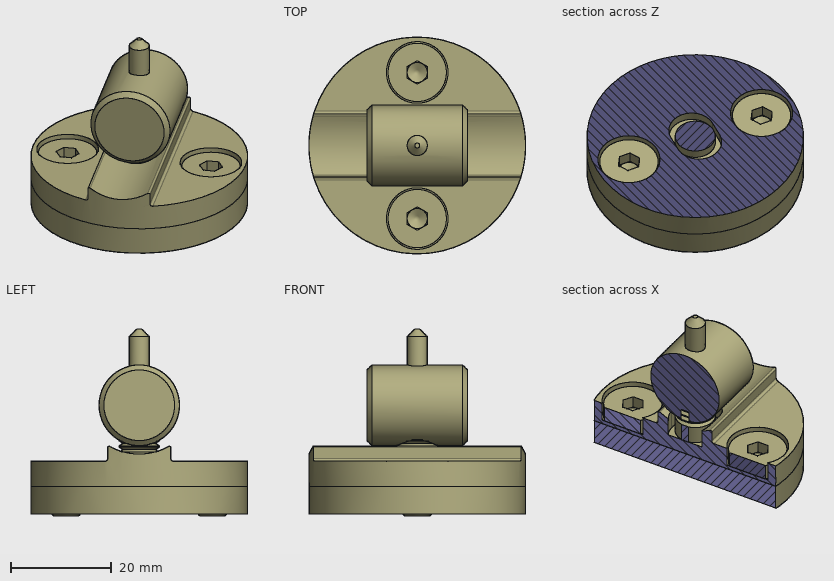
import cadquery as cq
import math

plate_diameter = 43.0
base_bottom = 0.4
base_thickness = 5.5
saddle_thickness = 5.0
base_top = base_bottom + base_thickness
saddle_top = base_top + saddle_thickness

roller_diameter = 16.0
roller_length = 20.0
roller_chamfer = 1.0
roller_axis_height = 21.97

rib_width = 12.55
lip_fillet = 0.3
root_fillet = 0.5
trough_radius = 12.0
trough_bottom = 12.3
rib_half_length = 21.95

screw_offset = 14.5
screw_diameter = 6.0
screw_tip_diameter = 5.0
screw_head_diameter = 11.55
counterbore_diameter = 12.2
head_sink = 0.8
head_height = 3.3
hex_sides = 6
hex_across_flats = 4.0
hex_depth = 2.5
hex_cone_half_angle = 60.0

thread_diameter = 8.0
thread_root_diameter = 6.5
thread_pitch = 1.25
thread_crest = 0.25
thread_count = 3
stud_bottom = 9.0
shank_top = 12.7
slot_width = 9.0
slot_travel = 3.3

pin_diameter = 4.0
pin_tip_diameter = 1.0
pin_top = 37.1
pin_insertion = 4.0

screw_centres = [(0, -screw_offset), (0, screw_offset)]
head_top = saddle_top - head_sink
head_seat = head_top - head_height
stud_top = shank_top + thread_count * thread_pitch
roller_top = roller_axis_height + roller_diameter / 2
pin_bottom = roller_top - pin_insertion


def vertical_cylinder(diameter, bottom, top, centre=(0, 0)):
    """Solid cylinder along Z between two heights."""
    return cq.Workplane("XY", origin=(*centre, bottom)).circle(diameter / 2).extrude(top - bottom)


def make_base():
    """Round base plate with clearance for the two screws."""
    plate = vertical_cylinder(plate_diameter, base_bottom, base_top)
    for centre in screw_centres:
        plate = plate.cut(vertical_cylinder(screw_diameter, base_bottom, base_top, centre))
    return plate


def make_rib():
    """Rib along X, from the base top up to the trough, longer than the plate."""
    half_width = rib_width / 2
    trough_axis_height = trough_bottom + trough_radius
    lip_height = trough_axis_height - math.sqrt(trough_radius**2 - half_width**2)
    return (
        cq.Workplane("YZ")
        .moveTo(-half_width, base_top)
        .lineTo(half_width, base_top)
        .lineTo(half_width, lip_height)
        .threePointArc((0, trough_bottom), (-half_width, lip_height))
        .close()
        .extrude(rib_half_length, both=True)
        .edges("|X and >Z")
        .fillet(lip_fillet)
    )


def make_root_fillet(side):
    """Concave strip in the corner between one rib side and the saddle top."""
    wall = side * rib_width / 2
    outer = wall + side * root_fillet
    centre_height = saddle_top + root_fillet
    diagonal = root_fillet * math.cos(math.radians(45))
    return (
        cq.Workplane("YZ")
        .moveTo(wall, saddle_top)
        .lineTo(outer, saddle_top)
        .threePointArc((outer - side * diagonal, centre_height - diagonal), (wall, centre_height))
        .close()
        .extrude(rib_half_length, both=True)
    )


def make_stud_slot():
    """Tool for the blind obround slot around the stud, open to the trough."""
    return (
        cq.Workplane("XY", origin=(0, 0, stud_bottom))
        .slot2D(slot_travel + slot_width, slot_width)
        .extrude(roller_axis_height - stud_bottom)
    )


def make_saddle():
    """Round plate with the rib, the counterbored screw holes and the stud slot."""
    plate = vertical_cylinder(plate_diameter, base_top, saddle_top)
    rib = make_rib().union(make_root_fillet(-1)).union(make_root_fillet(1))
    envelope = vertical_cylinder(plate_diameter, base_top, roller_axis_height)
    plate = plate.union(rib.intersect(envelope))
    for centre in screw_centres:
        plate = plate.cut(vertical_cylinder(screw_diameter, base_top, head_seat, centre))
        plate = plate.cut(vertical_cylinder(counterbore_diameter, head_seat, saddle_top, centre))
    return plate.cut(make_stud_slot())


def make_screw(centre):
    """Socket screw with a cylindrical head and a chamfered tip at Z = 0."""
    tip_chamfer = (screw_diameter - screw_tip_diameter) / 2
    shank = vertical_cylinder(screw_diameter, 0, head_seat, centre).faces("<Z").chamfer(tip_chamfer)
    head = vertical_cylinder(screw_head_diameter, head_seat, head_top, centre)

    hex_corner_diameter = hex_across_flats / math.cos(math.pi / hex_sides)
    socket = (
        cq.Workplane("XY", origin=(*centre, head_top))
        .transformed(rotate=(0, 0, 180 / hex_sides))
        .polygon(hex_sides, hex_corner_diameter)
        .extrude(-hex_depth)
    )
    cone_radius = hex_across_flats / 2
    cone_height = cone_radius / math.tan(math.radians(hex_cone_half_angle))
    drill_point = cq.Workplane(
        cq.Solid.makeCone(
            cone_radius, 0, cone_height, pnt=cq.Vector(*centre, head_top - hex_depth), dir=cq.Vector(0, 0, -1)
        )
    )
    return shank.union(head).cut(socket).cut(drill_point)


def make_stud():
    """Stud with a plain shank below and a thread of equal V-grooved rings above."""
    root_radius = thread_root_diameter / 2
    crest_radius = thread_diameter / 2
    flank_height = (thread_pitch - thread_crest) / 2
    profile = cq.Workplane("XZ").moveTo(0, stud_bottom).lineTo(crest_radius, stud_bottom)
    for ring in range(thread_count):
        crest_top = shank_top + ring * thread_pitch
        profile = profile.lineTo(crest_radius, crest_top)
        profile = profile.lineTo(root_radius, crest_top + flank_height)
        profile = profile.lineTo(crest_radius, crest_top + 2 * flank_height)
    return profile.lineTo(crest_radius, stud_top).lineTo(0, stud_top).close().revolve(360, (0, 0), (0, 1))


def make_roller():
    """Horizontal roller with a stud hole below and a pin hole above."""
    roller = (
        cq.Workplane("YZ", origin=(-roller_length / 2, 0, roller_axis_height))
        .circle(roller_diameter / 2)
        .extrude(roller_length)
        .faces("<X or >X")
        .chamfer(roller_chamfer)
    )
    roller = roller.cut(vertical_cylinder(thread_diameter, stud_bottom, stud_top))
    return roller.cut(vertical_cylinder(pin_diameter, pin_bottom, pin_top))


def make_pin():
    """Upright pin with a blunt conical tip."""
    tip_chamfer = (pin_diameter - pin_tip_diameter) / 2
    return vertical_cylinder(pin_diameter, pin_bottom, pin_top).faces(">Z").chamfer(tip_chamfer)


base = make_base()
saddle = make_saddle()
screws = [make_screw(centre) for centre in screw_centres]
stud = make_stud()
roller = make_roller()
pin = make_pin()

result = cq.Compound.makeCompound(
    [base.val(), saddle.val(), *[screw.val() for screw in screws], stud.val(), roller.val(), pin.val()]
)